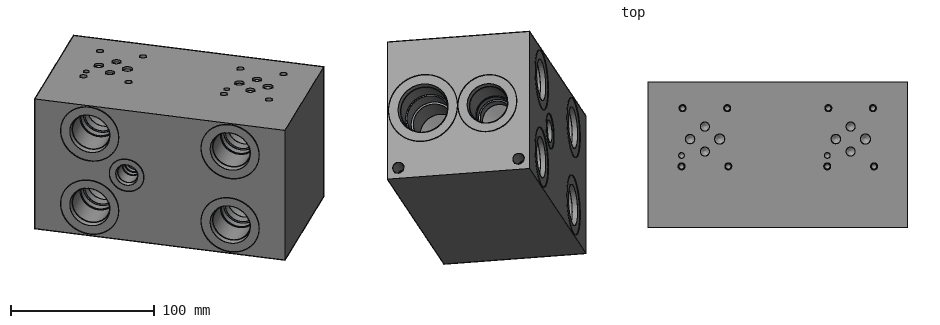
import cadquery as cq
import math

LENGTH = 181.0
SIDE = 101.5

DRILL_POINT_ANGLE = 118.0
SPOTFACE_DEPTH = 0.5

LARGE_PORT = {
    "spotface_dia": 49.2,
    "mouth_dia": 35.7,
    "seat_dia": 33.8,
    "thread_dia": 33.3,
    "relief_dia": 31.3,
    "drill_dia": 28.2,
    "seat_depth": 4.2,
    "thread_depth": 19.4,
    "relief_depth": 32.5,
    "drill_depth": 54.3,
}
MEDIUM_PORT = {
    "spotface_dia": 42.0,
    "mouth_dia": 29.0,
    "seat_dia": 27.5,
    "thread_dia": 27.0,
    "relief_dia": 25.3,
    "drill_dia": 23.0,
    "seat_depth": 4.2,
    "thread_depth": 23.5,
    "relief_depth": 29.0,
    "drill_depth": 36.2,
}
GAUGE_PORT = {
    "spotface_dia": 25.0,
    "mouth_dia": 16.0,
    "seat_dia": 14.7,
    "thread_dia": 14.3,
    "relief_dia": 13.2,
    "drill_dia": 12.0,
    "seat_depth": 3.5,
    "thread_depth": 14.5,
    "relief_depth": 18.1,
    "drill_depth": 21.7,
}

TANK_Y = 25.3
PRESSURE_Y = -20.6
STATION_X = SIDE / 2
WORK_PORT_Z = 28.6
GAUGE_X = -24.0

MOUNT_OFFSET = 42.9
MOUNT_THREAD_DIA = 8.0
MOUNT_DRILL_DIA = 6.5
MOUNT_THREAD_DEPTH = 16.3
MOUNT_DRILL_DEPTH = 21.7

PATTERN_Y = 12.1
BOLT_HALF_Y = 20.3
REAR_BOLT_HALF_X = 15.5
FRONT_BOLT_HALF_X = 16.3
BOLT_THREAD_DIA = 4.9
BOLT_DRILL_DIA = 3.8
BOLT_THREAD_DEPTH = 12.7
BOLT_DRILL_DEPTH = 16.3
PIN_Y = -12.7
PIN_DIA = 4.0
PIN_DEPTH = 5.5
FLOW_SHIFT_Y = -1.3
FLOW_HALF_X = 10.3
FLOW_HALF_Y = 8.7
FLOW_DIA = 6.3
PRESSURE_FLOW_DIA = 6.5
TANK_FLOW_DIA = 7.0
FLOW_DEPTH = 1.8


def turned_cutter(profile, tip_dia):
    """Turn (diameter, depth) steps about Z, going down from Z = 0 to a drill point."""
    tip_height = tip_dia / 2 / math.tan(math.radians(DRILL_POINT_ANGLE / 2))
    bottom = profile[-1][1]
    points = [(0, 0)] + [(dia / 2, -depth) for dia, depth in profile] + [(0, -bottom - tip_height)]
    return cq.Workplane("XZ").polyline(points).close().revolve(360, (0, 0, 0), (0, 1, 0))


def plain_hole(dia, depth):
    return turned_cutter([(dia, 0), (dia, depth)], dia)


def tapped_hole(thread_dia, drill_dia, thread_depth, drill_depth):
    profile = [
        (thread_dia, 0),
        (thread_dia, thread_depth),
        (drill_dia, thread_depth),
        (drill_dia, drill_depth),
    ]
    return turned_cutter(profile, drill_dia)


def threaded_port(port):
    """Spotface, tapered seal seat, threaded bore, relief and drilled bore with its point."""
    profile = [
        (port["spotface_dia"], 0),
        (port["spotface_dia"], SPOTFACE_DEPTH),
        (port["mouth_dia"], SPOTFACE_DEPTH),
        (port["seat_dia"], port["seat_depth"]),
        (port["thread_dia"], port["seat_depth"]),
        (port["thread_dia"], port["thread_depth"]),
        (port["relief_dia"], port["thread_depth"]),
        (port["relief_dia"], port["relief_depth"]),
        (port["drill_dia"], port["relief_depth"]),
        (port["drill_dia"], port["drill_depth"]),
    ]
    return turned_cutter(profile, port["drill_dia"])


def on_front(cutter, x, z):
    return cutter.rotate((0, 0, 0), (1, 0, 0), 90).translate((x, -SIDE / 2, z))


def on_end(cutter, y, z):
    return cutter.rotate((0, 0, 0), (0, 1, 0), -90).translate((-LENGTH / 2, y, z))


def on_top(cutter, x, y):
    return cutter.translate((x, y, SIDE / 2))


def valve_station(x):
    """Cutters of one valve pattern: four bolts, a locating pin and four flow holes."""
    bolt = tapped_hole(BOLT_THREAD_DIA, BOLT_DRILL_DIA, BOLT_THREAD_DEPTH, BOLT_DRILL_DEPTH)
    cutters = []
    for side in (-1, 1):
        cutters.append(on_top(bolt, x + side * REAR_BOLT_HALF_X, PATTERN_Y + BOLT_HALF_Y))
        cutters.append(on_top(bolt, x + side * FRONT_BOLT_HALF_X, PATTERN_Y - BOLT_HALF_Y))
    cutters.append(on_top(plain_hole(PIN_DIA, PIN_DEPTH), x - FRONT_BOLT_HALF_X, PATTERN_Y + PIN_Y))

    flow_y = PATTERN_Y + FLOW_SHIFT_Y
    for side in (-1, 1):
        cutters.append(on_top(plain_hole(FLOW_DIA, FLOW_DEPTH), x, flow_y + side * FLOW_HALF_Y))
    cutters.append(on_top(plain_hole(PRESSURE_FLOW_DIA, FLOW_DEPTH), x - FLOW_HALF_X, flow_y))
    cutters.append(on_top(plain_hole(TANK_FLOW_DIA, FLOW_DEPTH), x + FLOW_HALF_X, flow_y))
    return cutters


cutters = [
    on_end(threaded_port(LARGE_PORT), TANK_Y, 0),
    on_end(threaded_port(MEDIUM_PORT), PRESSURE_Y, 0),
]
mount = tapped_hole(MOUNT_THREAD_DIA, MOUNT_DRILL_DIA, MOUNT_THREAD_DEPTH, MOUNT_DRILL_DEPTH)
for side in (-1, 1):
    cutters.append(on_end(mount, side * MOUNT_OFFSET, -MOUNT_OFFSET))

cutters.append(on_front(threaded_port(GAUGE_PORT), GAUGE_X, 0))
for station_x in (-STATION_X, STATION_X):
    for port_z in (-WORK_PORT_Z, WORK_PORT_Z):
        cutters.append(on_front(threaded_port(MEDIUM_PORT), station_x, port_z))
    cutters += valve_station(station_x)

result = cq.Workplane("XY").box(LENGTH, SIDE, SIDE)
for cutter in cutters:
    result = result.cut(cutter)